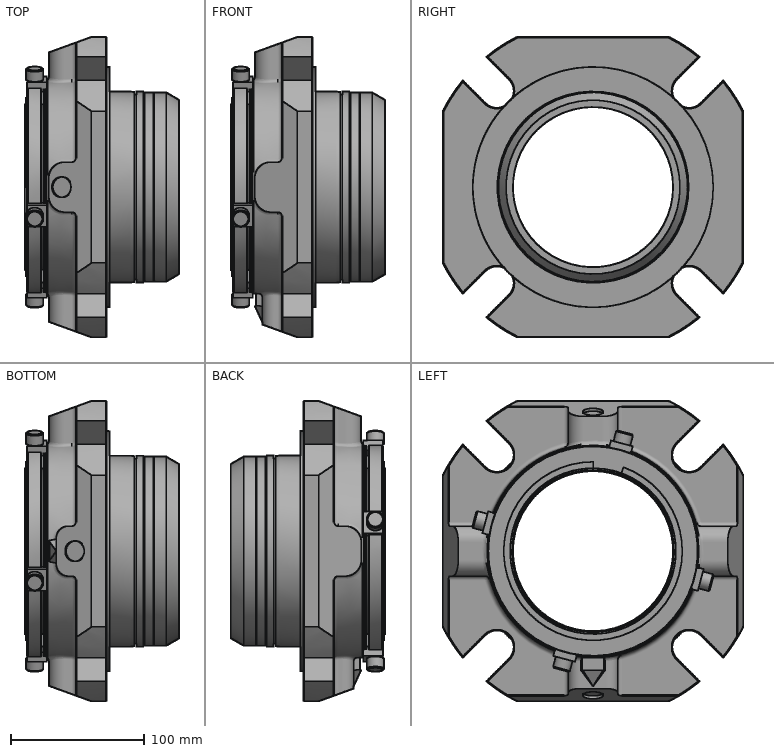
import cadquery as cq
import math

LENGTH = 116.0
HALF_WIDTH = 112.8

PLATE_FRONT = 38.4
PLATE_BACK = 61.4
CORNER_R = 126.4
RIM_CHAMFER = 0.7
BEVEL_ANGLE = 20.0
BEVEL_END = 50.0
SLOT_WIDTH = 25.0
SLOT_CENTER_R = 102.0

GASKET_R = 90.3
GASKET_BACK = 63.6

COLLAR_FRONT = 16.2
CONE_START = 12.0
COLLAR_FRONT_R = 80.0
COLLAR_BACK_R = 81.5
COLLAR_CHAMFER = 1.0
COLLAR_FILLET = 3.0
LIP_FRONT = 14.2
LIP_R = 79.0
LIP_GROOVE_WIDTH = 0.7
LIP_GROOVE_DEPTH = 1.0

RING_FRONT = 1.5
RING_BACK = 12.9
RING_R = 79.5
RING_CHAMFER = 1.0
NOSE_R = 62.3
BORE_R = 60.0
BORE_CHAMFER = 1.0

SNAP_FRONT = 0.7
SNAP_R = 67.0
SNAP_GAP_ANGLE = 20.0

SLEEVE_R = 143.7 / 2
TAPER_START = 79.5
TAPER_END_R = 142.8 / 2
GROOVE_START = 82.4
GROOVE_END = 83.7
GROOVE_R = 139.2 / 2
LAND_END = 89.1
TAIL_R = 142.4 / 2
TAIL_GROOVES = (89.5, 96.5)
TAIL_GROOVE_WIDTH = 0.7
TAIL_GROOVE_DEPTH = 0.5
LEAD_IN_START = 106.0
LEAD_IN_ANGLE = 30.0
END_CHAMFER = 0.5

BOSS_HALF_WIDTH = 18.7
BOSS_FILLET = 3.2
BOSS_ROOT_R = 67.7
BOSS_FRONT = 18.0
BOSS_CORNER_R = 11.7
LOW_BOSS_FRONT = 23.7
LOW_BOSS_CORNER_R = 8.8
PORT_DIAMETER = 15.3
PORT_DEPTH = 2.3
TOP_PORT_X = 27.5
BOTTOM_PORT_X = 37.5

ARROW_HEAD_FRONT = 18.0
ARROW_SHAFT_FRONT = 19.0
ARROW_WIDTH = 18.0
ARROW_DRAFT = 11.0
ARROW_SHOULDER_R = 89.4
ARROW_TIP_R = 101.5

LUG_COUNT = 4
LUG_ANGLE = 15.0
LUG_FRONT = 1.8
LUG_BACK = 16.7
LUG_WIDTH = 17.0
LUG_INNER_R = 76.3
LUG_OUTER_R = 83.7
SCREW_X = 7.5
SCREW_DIAMETER = 13.0
SCREW_TOP_R = 92.3
SCREW_CHAMFER = 1.0

BEVEL_SLOPE = math.tan(math.radians(BEVEL_ANGLE))


def about_axis(body, angle):
    return body.rotate((0, 0, 0), (1, 0, 0), angle)


def disc(x_front, x_back, radius):
    return cq.Workplane("YZ", origin=(x_front, 0, 0)).circle(radius).extrude(x_back - x_front)


def bevel_half_width(x):
    """Distance from the axis to the bevelled side faces at a given X."""
    return HALF_WIDTH - (BEVEL_END - x) * BEVEL_SLOPE


def make_envelope():
    """Square block whose four sides slope inward ahead of BEVEL_END."""
    side = 2 * HALF_WIDTH
    straight = cq.Workplane("YZ", origin=(BEVEL_END, 0, 0)).rect(side, side).extrude(PLATE_BACK - BEVEL_END)
    sloped = (
        cq.Workplane("ZY", origin=(BEVEL_END, 0, 0))
        .rect(side, side)
        .extrude(BEVEL_END, taper=BEVEL_ANGLE)
    )
    return straight.union(sloped)


def make_plate(envelope):
    """Rounded square plate with four open bolt slots on its diagonals."""
    plate = disc(PLATE_FRONT, PLATE_BACK, CORNER_R)
    slot_run = 2 * (CORNER_R - SLOT_CENTER_R)
    slot = (
        cq.Workplane("YZ", origin=(PLATE_FRONT, 0, 0))
        .center(SLOT_CENTER_R + slot_run / 2, 0)
        .slot2D(slot_run + SLOT_WIDTH, SLOT_WIDTH)
        .extrude(PLATE_BACK - PLATE_FRONT)
    )
    for quarter in range(4):
        plate = plate.cut(about_axis(slot, 45 + 90 * quarter))
    return plate.intersect(envelope).faces("<X or >X").chamfer(RIM_CHAMFER)


def make_boss(front, corner_r):
    """Boss on the +Z side: rounded front corners and fillets where it meets the plate."""
    half = BOSS_HALF_WIDTH
    flat = half - corner_r
    shoulder = front + corner_r
    fillet_start = PLATE_FRONT - BOSS_FILLET
    foot = half + BOSS_FILLET
    bulge = corner_r * math.sqrt(0.5)
    hollow = BOSS_FILLET * math.sqrt(0.5)
    return (
        cq.Workplane("XY", origin=(0, 0, BOSS_ROOT_R))
        .moveTo(front, -flat)
        .lineTo(front, flat)
        .threePointArc((shoulder - bulge, flat + bulge), (shoulder, half))
        .lineTo(fillet_start, half)
        .threePointArc((fillet_start + hollow, foot - hollow), (PLATE_FRONT, foot))
        .lineTo(BEVEL_END, foot)
        .lineTo(BEVEL_END, -foot)
        .lineTo(PLATE_FRONT, -foot)
        .threePointArc((fillet_start + hollow, hollow - foot), (fillet_start, -half))
        .lineTo(shoulder, -half)
        .threePointArc((shoulder - bulge, -flat - bulge), (front, -flat))
        .close()
        .extrude(HALF_WIDTH - BOSS_ROOT_R)
    )


def make_port(x):
    """Shallow round recess, square to the bevelled +Z face."""
    surface = cq.Vector(x, 0, bevel_half_width(x))
    tilt = math.radians(BEVEL_ANGLE)
    outward = cq.Vector(-math.sin(tilt), 0, math.cos(tilt))
    start = surface - outward * PORT_DEPTH
    recess = cq.Solid.makeCylinder(PORT_DIAMETER / 2, 2 * PORT_DEPTH, start, outward)
    return cq.Workplane(recess)


def make_arrow():
    """Arrow pointing toward +Z; its head stands proud of the shaft and slopes back to the boss."""
    outline = (
        cq.Workplane("ZY", origin=(LOW_BOSS_FRONT, 0, 0))
        .moveTo(BOSS_ROOT_R, -ARROW_WIDTH / 2)
        .lineTo(BOSS_ROOT_R, ARROW_WIDTH / 2)
        .lineTo(ARROW_SHOULDER_R, ARROW_WIDTH / 2)
        .lineTo(ARROW_TIP_R, 0)
        .lineTo(ARROW_SHOULDER_R, -ARROW_WIDTH / 2)
        .close()
        .extrude(LOW_BOSS_FRONT - ARROW_HEAD_FRONT, taper=ARROW_DRAFT)
    )
    side = (
        cq.Workplane("XZ")
        .moveTo(ARROW_SHAFT_FRONT, BOSS_ROOT_R)
        .lineTo(ARROW_SHAFT_FRONT, ARROW_SHOULDER_R)
        .lineTo(ARROW_HEAD_FRONT, ARROW_SHOULDER_R)
        .lineTo(LOW_BOSS_FRONT, ARROW_TIP_R)
        .lineTo(LOW_BOSS_FRONT, BOSS_ROOT_R)
        .close()
        .extrude(ARROW_WIDTH / 2, both=True)
    )
    return outline.intersect(side)


def make_collar_cone():
    """Slightly conical collar, begun early so that the blends on it can run past its front."""
    slope = (COLLAR_BACK_R - COLLAR_FRONT_R) / (PLATE_FRONT - COLLAR_FRONT)
    return (
        cq.Workplane("XY")
        .moveTo(CONE_START, 0)
        .lineTo(CONE_START, COLLAR_FRONT_R - slope * (COLLAR_FRONT - CONE_START))
        .lineTo(PLATE_FRONT, COLLAR_BACK_R)
        .lineTo(PLATE_FRONT, 0)
        .close()
        .revolve(360, (0, 0, 0), (1, 0, 0))
    )


def make_front_rings():
    """Clamp ring, sleeve nose, snap ring and the grooved lip ahead of the collar."""
    nose = disc(0, COLLAR_FRONT, NOSE_R)
    ring = disc(RING_FRONT, RING_BACK, RING_R).edges().chamfer(RING_CHAMFER)
    lip = disc(LIP_FRONT, LIP_FRONT + LIP_GROOVE_WIDTH, LIP_R)
    lip_neck = disc(LIP_FRONT, COLLAR_FRONT, LIP_R - LIP_GROOVE_DEPTH)

    snap_ring = (
        cq.Workplane("XY")
        .moveTo(SNAP_FRONT, 0)
        .lineTo(SNAP_FRONT, SNAP_R)
        .lineTo(RING_BACK, SNAP_R)
        .lineTo(RING_BACK, 0)
        .close()
        .revolve(360 - SNAP_GAP_ANGLE, (0, 0, 0), (1, 0, 0))
    )
    snap_ring = about_axis(snap_ring, 90 + SNAP_GAP_ANGLE)
    return nose.union(ring).union(lip).union(lip_neck).union(snap_ring)


def make_sleeve():
    """Rear sleeve with a seal groove, two shallow grooves and a lead-in cone."""
    lead_in_end_r = TAIL_R - (LENGTH - END_CHAMFER - LEAD_IN_START) * math.tan(math.radians(LEAD_IN_ANGLE))
    sleeve = (
        cq.Workplane("XY")
        .moveTo(PLATE_BACK, 0)
        .lineTo(PLATE_BACK, SLEEVE_R)
        .lineTo(TAPER_START, SLEEVE_R)
        .lineTo(GROOVE_START, TAPER_END_R)
        .lineTo(GROOVE_START, GROOVE_R)
        .lineTo(GROOVE_END, GROOVE_R)
        .lineTo(GROOVE_END, SLEEVE_R)
        .lineTo(LAND_END, SLEEVE_R)
        .lineTo(LAND_END, TAIL_R)
        .lineTo(LEAD_IN_START, TAIL_R)
        .lineTo(LENGTH - END_CHAMFER, lead_in_end_r)
        .lineTo(LENGTH, lead_in_end_r - END_CHAMFER)
        .lineTo(LENGTH, 0)
        .close()
        .revolve(360, (0, 0, 0), (1, 0, 0))
    )
    for x in TAIL_GROOVES:
        groove = disc(x, x + TAIL_GROOVE_WIDTH, SLEEVE_R)
        core = disc(x, x + TAIL_GROOVE_WIDTH, TAIL_R - TAIL_GROOVE_DEPTH)
        sleeve = sleeve.cut(groove.cut(core))
    return sleeve


def make_lug():
    """Setting lug on the +Z side that bridges the clamp ring and collar, with its screw."""
    block = cq.Workplane("XY", origin=(LUG_FRONT, 0, LUG_INNER_R)).box(
        LUG_BACK - LUG_FRONT, LUG_WIDTH, LUG_OUTER_R - LUG_INNER_R, centered=(False, True, False)
    )
    screw = (
        cq.Workplane("XY", origin=(SCREW_X, 0, LUG_OUTER_R))
        .circle(SCREW_DIAMETER / 2)
        .extrude(SCREW_TOP_R - LUG_OUTER_R)
        .faces(">Z")
        .chamfer(SCREW_CHAMFER)
    )
    return block.union(screw)


envelope = make_envelope()

bosses = about_axis(make_boss(LOW_BOSS_FRONT, LOW_BOSS_CORNER_R), 180)
for boss_angle in (0, 90, -90):
    bosses = bosses.union(about_axis(make_boss(BOSS_FRONT, BOSS_CORNER_R), boss_angle))
bosses = bosses.intersect(envelope)

gland = make_plate(envelope).union(bosses).union(make_collar_cone())
gland = gland.faces("%CONE").faces("<X").edges("not %LINE").edges("not <X").fillet(COLLAR_FILLET)
gland = gland.cut(disc(0, COLLAR_FRONT, CORNER_R))
gland = gland.faces("<X").edges().chamfer(COLLAR_CHAMFER)

gland = gland.union(about_axis(make_arrow(), 180))
gland = gland.cut(make_port(TOP_PORT_X))
gland = gland.cut(about_axis(make_port(BOTTOM_PORT_X), 180))

result = gland.union(disc(PLATE_BACK, GASKET_BACK, GASKET_R))
result = result.union(make_sleeve()).union(make_front_rings())
for lug_index in range(LUG_COUNT):
    result = result.union(about_axis(make_lug(), LUG_ANGLE + lug_index * 360 / LUG_COUNT))

mouth = cq.Workplane(
    cq.Solid.makeCone(BORE_R + BORE_CHAMFER, BORE_R, BORE_CHAMFER, cq.Vector(0, 0, 0), cq.Vector(1, 0, 0))
)
result = result.cut(disc(0, LENGTH, BORE_R)).cut(mouth)